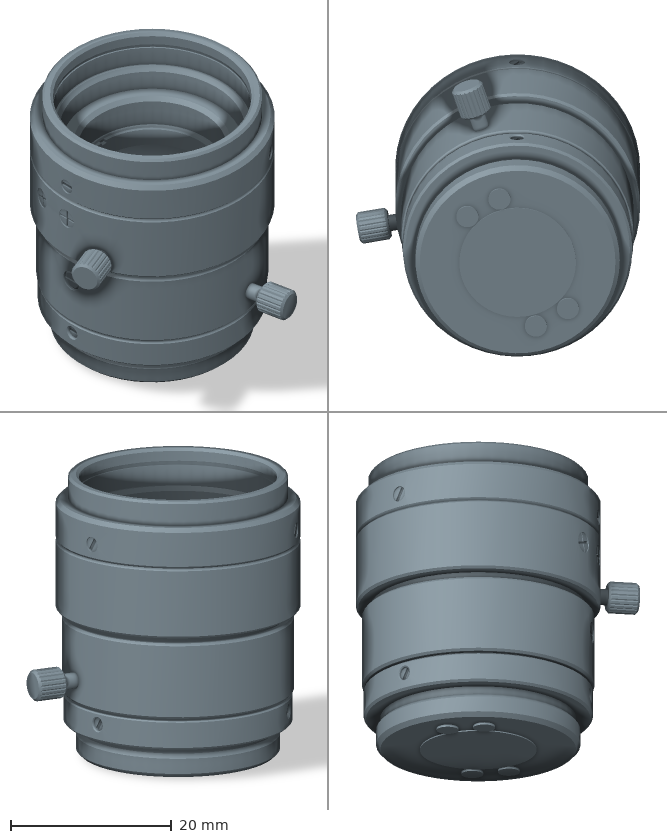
import cadquery as cq
import math

HEIGHT = 36.1

front_rim_radius = 13.7
focus_band_radius = 15.25
neck_radius = 13.5
iris_band_radius = 14.45
mount_band_radius = 14.25
mount_neck_radius = 12.2
mount_rim_radius = 12.7
edge_chamfer = 0.3
shoulder_chamfer = 0.5
mount_rim_chamfer = 0.55

base_z = 0.3
mount_rim_top = 3.32
mount_band_bottom = 4.3
mount_band_top = 7.98
iris_band_bottom = 8.3
iris_band_top = 18.02
focus_band_bottom = 18.9
parting_groove_z = 27.88
focus_band_top = 33.05

mouth_radius = 12.7
thread_radius = 12.35
undercut_radius = 12.55
step_radius = 12.02
middle_bore_top_radius = 11.52
middle_bore_bottom_radius = 11.25
ledge_inner_radius = 9.82
lower_bore_radius = 9.25
retainer_rim_radius = 9.03
retainer_face_radius = 8.9
retainer_inner_radius = 8.45
glass_radius = 7.95
undercut_top = HEIGHT - 1.62
undercut_bottom = HEIGHT - 2.15
step_z = HEIGHT - 4.73
middle_bore_top = HEIGHT - 5.27
ledge_z = HEIGHT - 7.73
lower_bore_top = HEIGHT - 8.2
lower_bore_bottom = HEIGHT - 11.75
retainer_z = HEIGHT - 11.95
glass_edge_z = HEIGHT - 13.95
glass_rise = 2.13

notch_width = 0.83
notch_inner_radius = 8.3
notch_outer_radius = 8.9
notch_depth = 0.35

rear_boss_radius = 7.25
rear_boss_bottom = 0.15
rear_screw_radius = 1.37
rear_screw_x = 8.45
rear_screw_y = 2.3

knob_radius = 2.0
knob_root_radius = 1.88
knob_length = 3.95
knob_chamfer = 0.32
knob_teeth = 20
knob_shaft_radius = 1.0
shaft_root = neck_radius - 0.72
iris_knob_angle = 12.0
iris_knob_z = 11.25
iris_knob_reach = 20.33
focus_knob_angle = -70.0
focus_knob_z = 21.25
focus_knob_reach = 20.15

set_screw_radius = 0.97
set_screw_countersink = 0.15
mount_hole_radius = set_screw_radius - set_screw_countersink
set_screw_slot = 0.5
set_screw_placements = ((-90, 0), (30, 60), (150, 60))
front_set_screw_z = 29.85
front_set_screw_face = 15.02
mount_set_screw_z = 6.5
mount_set_screw_face = 13.85
slot_depth = 0.2
cutter_reach = focus_band_radius + 0.35

cross_screw_radius = 1.3
cross_slot_width = 0.3
cross_slot_length = 2.53
cross_screw_placements = ((-90, 0), (-110, 18))
cross_screw_face = 15.1
cross_screw_z = 24.85

iris_screw_angle = -90.0
iris_screw_radius = 1.35
iris_screw_chamfer = 0.25
iris_screw_slot = 0.32
iris_screw_face = 14.25
iris_screw_z = 14.75


def make_barrel():
    """Turn the solid of the barrel, with its bore and domed front glass."""
    c = edge_chamfer
    outline = [
        (0, base_z),
        (mount_rim_radius - mount_rim_chamfer, base_z),
        (mount_rim_radius, base_z + mount_rim_chamfer),
        (mount_rim_radius, mount_rim_top - mount_rim_chamfer),
        (mount_neck_radius, mount_rim_top),
        (mount_neck_radius, mount_band_bottom),
        (mount_band_radius - c, mount_band_bottom),
        (mount_band_radius, mount_band_bottom + c),
        (mount_band_radius, mount_band_top - c / 2),
        (mount_band_radius - c / 2, mount_band_top),
        (neck_radius, mount_band_top),
        (neck_radius, iris_band_bottom),
        (iris_band_radius - c, iris_band_bottom),
        (iris_band_radius, iris_band_bottom + c),
        (iris_band_radius, iris_band_top - c),
        (iris_band_radius - c, iris_band_top),
        (neck_radius, iris_band_top),
        (neck_radius, focus_band_bottom),
        (focus_band_radius - c, focus_band_bottom),
        (focus_band_radius, focus_band_bottom + c),
        (focus_band_radius, parting_groove_z - c),
        (focus_band_radius - c, parting_groove_z),
        (focus_band_radius, parting_groove_z + c),
        (focus_band_radius, focus_band_top - shoulder_chamfer),
        (focus_band_radius - shoulder_chamfer, focus_band_top),
        (front_rim_radius, focus_band_top),
        (front_rim_radius, HEIGHT - c),
        (front_rim_radius - c, HEIGHT),
        (mouth_radius, HEIGHT),
        (thread_radius, HEIGHT - (mouth_radius - thread_radius)),
        (thread_radius, undercut_top),
        (undercut_radius, undercut_top),
        (undercut_radius, undercut_bottom),
        (thread_radius, undercut_bottom),
        (thread_radius, step_z),
        (step_radius, step_z),
        (middle_bore_top_radius, middle_bore_top),
        (middle_bore_bottom_radius, ledge_z),
        (ledge_inner_radius, ledge_z),
        (lower_bore_radius, lower_bore_top),
        (lower_bore_radius, lower_bore_bottom),
        (retainer_rim_radius, lower_bore_bottom),
        (retainer_face_radius, retainer_z),
        (retainer_inner_radius, retainer_z),
        (glass_radius, glass_edge_z),
    ]
    dome_radius = (glass_radius**2 + glass_rise**2) / (2 * glass_rise)
    half_angle = math.asin(glass_radius / dome_radius) / 2
    apex_z = glass_edge_z + glass_rise
    dome_middle = (
        dome_radius * math.sin(half_angle),
        apex_z - dome_radius * (1 - math.cos(half_angle)),
    )
    profile = cq.Workplane("XZ").polyline(outline).threePointArc(dome_middle, (0, apex_z)).close()
    return profile.revolve(360, (0, 0, 0), (0, 1, 0))


def make_notches():
    """Two opposed spanner notches in the retainer ring."""
    length = notch_outer_radius - notch_inner_radius
    middle = (notch_outer_radius + notch_inner_radius) / 2
    return (
        cq.Workplane("XY", origin=(0, 0, retainer_z))
        .pushPoints([(-middle, 0), (middle, 0)])
        .rect(length, notch_width)
        .extrude(-notch_depth)
    )


def make_rear_details():
    """Glass boss and four screw heads standing below the rear face."""
    plane = cq.Workplane("XY", origin=(0, 0, base_z))
    boss = plane.circle(rear_boss_radius).extrude(rear_boss_bottom - base_z)
    heads = plane.rect(2 * rear_screw_x, 2 * rear_screw_y, forConstruction=True).vertices()
    return boss.union(heads.circle(rear_screw_radius).extrude(-base_z))


def radial_plane(angle, z, distance):
    """Workplane facing outward from the axis, its local Y pointing along Z."""
    turn = math.radians(angle)
    normal = (math.cos(turn), math.sin(turn), 0)
    across = (-math.sin(turn), math.cos(turn), 0)
    origin = (distance * normal[0], distance * normal[1], z)
    return cq.Workplane(cq.Plane(origin=origin, xDir=across, normal=normal))


def make_knob(angle, z, reach):
    """Knurled knob on a plain shaft rooted in the barrel wall."""
    pitch = 2 * math.pi / knob_teeth
    tooth_corners = ((-0.25, knob_radius), (0.25, knob_radius), (0.5, knob_root_radius))
    section = []
    for tooth in range(knob_teeth):
        for pitch_fraction, radius in tooth_corners:
            corner_angle = (tooth + pitch_fraction) * pitch
            section.append((radius * math.cos(corner_angle), radius * math.sin(corner_angle)))
    knob_start = reach - knob_length
    plane = radial_plane(angle, z, knob_start)
    knurl = plane.polyline(section).close().extrude(knob_length)
    envelope = plane.circle(knob_radius).extrude(knob_length).edges().chamfer(knob_chamfer)
    shaft = radial_plane(angle, z, shaft_root).circle(knob_shaft_radius)
    shaft = shaft.extrude(reach - knob_length / 2 - shaft_root)
    return knurl.intersect(envelope).union(shaft)


def round_recess(angle, z, radius, face):
    """Round cutter from outside the barrel down to a flat face."""
    return radial_plane(angle, z, face).circle(radius).extrude(cutter_reach - face)


def screw_slot(angle, z, length, width, face, tilt=0):
    """Straight driver slot cut below a screw face, tilted from horizontal."""
    plane = radial_plane(angle, z, face).transformed(rotate=(0, 0, tilt))
    return plane.rect(length, width).extrude(-slot_depth)


def make_set_screw(angle, tilt, z, face, hole_radius):
    """Cutter for a slotted set screw sunk in a plain hole."""
    slot_length = 2 * math.sqrt(hole_radius**2 - (set_screw_slot / 2) ** 2)
    hole = round_recess(angle, z, hole_radius, face)
    return hole.union(screw_slot(angle, z, slot_length, set_screw_slot, face, tilt))


def make_countersink(angle, z, band_radius):
    """Cutter for a 45 degree countersink around a set screw hole."""
    rim = radial_plane(angle, z, band_radius).circle(set_screw_radius)
    return rim.extrude(-set_screw_countersink, taper=45)


def make_cross_screw(angle, tilt):
    """Cutter for a cross-slotted screw whose head is almost level with its band."""
    cutter = round_recess(angle, cross_screw_z, cross_screw_radius, cross_screw_face)
    for turn in (tilt, tilt + 90):
        cutter = cutter.union(
            screw_slot(angle, cross_screw_z, cross_slot_length, cross_slot_width, cross_screw_face, turn)
        )
    return cutter


def add_iris_screw(body):
    """Slotted screw with a chamfered head, sunk level with the iris band."""
    angle = iris_screw_angle
    seat = iris_screw_face - iris_screw_chamfer
    head = radial_plane(angle, iris_screw_z, seat).circle(iris_screw_radius)
    head = head.extrude(iris_screw_chamfer, taper=45)
    slot = screw_slot(
        angle, iris_screw_z, 2 * iris_screw_radius, iris_screw_slot, iris_screw_face
    )
    recess = round_recess(angle, iris_screw_z, iris_screw_radius, seat)
    return body.cut(recess).union(head).cut(slot)


result = make_barrel().cut(make_notches()).union(make_rear_details())
for screw_angle, slot_tilt in set_screw_placements:
    result = result.cut(
        make_set_screw(
            screw_angle, slot_tilt, front_set_screw_z, front_set_screw_face, set_screw_radius
        )
    )
    result = result.cut(
        make_set_screw(
            screw_angle, slot_tilt, mount_set_screw_z, mount_set_screw_face, mount_hole_radius
        )
    )
    result = result.cut(make_countersink(screw_angle, mount_set_screw_z, mount_band_radius))
for screw_angle, slot_tilt in cross_screw_placements:
    result = result.cut(make_cross_screw(screw_angle, slot_tilt))
result = add_iris_screw(result)
result = result.union(make_knob(iris_knob_angle, iris_knob_z, iris_knob_reach))
result = result.union(make_knob(focus_knob_angle, focus_knob_z, focus_knob_reach))